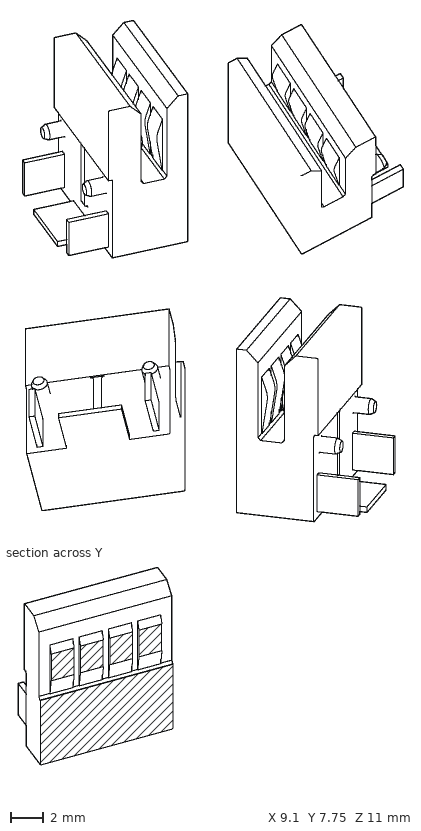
import cadquery as cq
import math


width = 9.1
height = 11.0
body_depth = 5.08
overhang = 0.29
overhang_z = 5.83
edge_radius = 0.1

slot_rear_y = 3.64
slot_front_y = 1.91
slot_floor_z = 5.06
slot_floor_chamfer = 0.18
lead_in_depth = 0.75
lead_in_height = 0.76

contact_count = 4
contact_pitch = 2.0
contact_width = 1.57
contact_top_z = 9.0
contact_peak_z = 7.79
contact_peak = 0.42
contact_bend_radius = 1.54
contact_root = 0.11

rib_width = 0.52
rib_height = 0.19
rib_bottom_z = 1.34
rib_end_radius = 0.14
rib_flare_radius = 0.2
wall_fillet = 0.13

peg_spacing = 7.0
peg_z = 4.84
peg_radius = 0.51
peg_length = 1.47
peg_flare = 0.2
peg_tip_radius = 0.35
peg_tip_length = 0.29
peg_root = 0.11

tab_length = 2.67
tab_thickness = 0.37
side_tab_outer_x = 3.87
side_tab_bottom_z = 0.45
side_tab_height = 2.46
centre_tab_width = 3.99
tab_root = 0.11

tolerance = 0.01


def extrude_across(outline, length):
    """Extrude a closed list of (y, z) points along X, centred on X = 0."""
    return cq.Workplane("YZ").polyline(outline).close().extrude(length / 2, both=True)


def make_housing():
    """Stepped block with rounded outer edges."""
    block = extrude_across(
        [
            (0, 0),
            (body_depth, 0),
            (body_depth, height),
            (-overhang, height),
            (-overhang, overhang_z),
            (0, overhang_z),
        ],
        width,
    )
    rear_bottom_and_top_edges = ">Y or (|Y and <Z) or (|X and >Z)"
    return block.edges(rear_bottom_and_top_edges).fillet(edge_radius)


def add_rib(housing):
    """Add the vertical rib and blend it into the mounting wall and the overhang."""
    rib_length = overhang_z - rib_bottom_z
    rib = (
        cq.Workplane("XY", origin=(0, 0, rib_bottom_z))
        .box(rib_width, 2 * rib_height, rib_length, centered=(True, True, False))
    )
    ribbed = housing.union(rib)

    half_rib = rib_width / 2
    overhang_corners = cq.selectors.BoxSelector(
        (-half_rib - tolerance, tolerance - rib_height, overhang_z - tolerance),
        (half_rib + tolerance, -tolerance, overhang_z + tolerance),
    )
    ribbed = ribbed.edges(overhang_corners).fillet(rib_flare_radius)

    inner_x = width / 2 - tolerance
    wall_corners = cq.selectors.BoxSelector(
        (-inner_x, -tolerance, rib_bottom_z + tolerance),
        (inner_x, tolerance, overhang_z + tolerance),
    )
    blended = ribbed.edges(wall_corners).fillet(wall_fillet)

    arc_mid = rib_end_radius * (1 - math.sqrt(0.5))
    rounding = (
        cq.Workplane("YZ", origin=(0, -rib_height, rib_bottom_z))
        .lineTo(rib_end_radius, 0)
        .threePointArc((arc_mid, arc_mid), (0, rib_end_radius))
        .close()
        .extrude(half_rib, both=True)
    )
    return blended.cut(rounding)


def make_slot():
    """Cutter for the card slot, with its lead-in bevels and bevelled floor corners."""
    bevel_z = height - lead_in_height
    floor_edge_z = slot_floor_z + slot_floor_chamfer
    return extrude_across(
        [
            (slot_front_y - lead_in_depth, height),
            (slot_front_y, bevel_z),
            (slot_front_y, floor_edge_z),
            (slot_front_y + slot_floor_chamfer, slot_floor_z),
            (slot_rear_y - slot_floor_chamfer, slot_floor_z),
            (slot_rear_y, floor_edge_z),
            (slot_rear_y, bevel_z),
            (slot_rear_y + lead_in_depth, height),
        ],
        width,
    )


def make_contact():
    """Spring bulge on the plane Y = 0, rising toward +Y and centred on X = 0."""
    blank = extrude_across(
        [
            (-contact_root, slot_floor_z),
            (0, slot_floor_z),
            (contact_peak, contact_peak_z),
            (0, contact_top_z),
            (-contact_root, contact_top_z),
        ],
        contact_width,
    )
    return blank.edges("|X and >Y").fillet(contact_bend_radius)


def add_contacts(housing):
    """Add one row of contacts to each slot wall, facing each other."""
    front_contact = make_contact()
    rear_contact = front_contact.mirror("XZ")
    first_x = -(contact_count - 1) * contact_pitch / 2
    for i in range(contact_count):
        x = first_x + i * contact_pitch
        housing = housing.union(front_contact.translate((x, slot_front_y, 0)))
        housing = housing.union(rear_contact.translate((x, slot_rear_y, 0)))
    return housing


def make_peg():
    """Peg along -Y from the mounting wall, with a flared root and a tapered tip."""
    flare_mid = peg_flare * (1 - math.sqrt(0.5))
    return (
        cq.Workplane("XY")
        .moveTo(0, peg_root)
        .lineTo(peg_radius + peg_flare, peg_root)
        .lineTo(peg_radius + peg_flare, 0)
        .threePointArc((peg_radius + flare_mid, -flare_mid), (peg_radius, -peg_flare))
        .lineTo(peg_radius, -(peg_length - peg_tip_length))
        .lineTo(peg_tip_radius, -peg_length)
        .lineTo(0, -peg_length)
        .close()
        .revolve(360, (0, 0, 0), (0, 1, 0))
    )


def add_pegs(housing):
    """Add the two locating pegs."""
    peg = make_peg()
    for x in (-peg_spacing / 2, peg_spacing / 2):
        housing = housing.union(peg.translate((x, 0, peg_z)))
    return housing


def make_tab(size_x, size_z):
    """Flat tab reaching out from the mounting wall, standing on Z = 0, centred on X = 0."""
    length = tab_length + tab_root
    return (
        cq.Workplane("XY", origin=(0, -tab_length, 0))
        .box(size_x, length, size_z, centered=(True, False, False))
    )


def add_tabs(housing):
    """Add the flat centre tab at the underside and an upright tab at each side."""
    housing = housing.union(make_tab(centre_tab_width, tab_thickness))
    side_tab = make_tab(tab_thickness, side_tab_height)
    side_tab_x = side_tab_outer_x - tab_thickness / 2
    for x in (-side_tab_x, side_tab_x):
        housing = housing.union(side_tab.translate((x, 0, side_tab_bottom_z)))
    return housing


body = add_rib(make_housing()).cut(make_slot())
body = add_contacts(body)
body = add_pegs(body)
result = add_tabs(body)